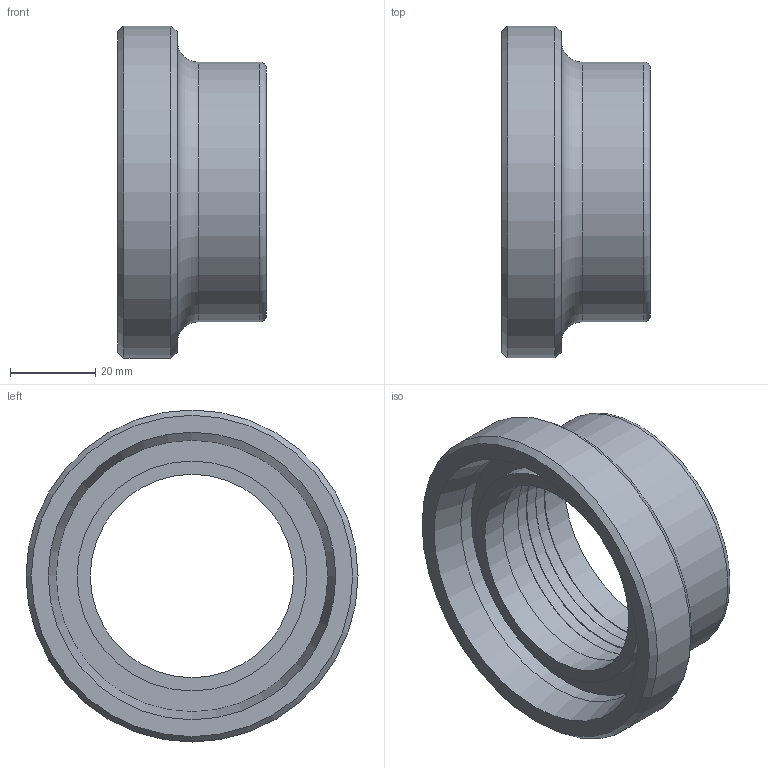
import cadquery as cq
import math


total_length = 35.0
flange_radius = 78.0 / 2
flange_width = 14.0
chamfer_length = 1.5
chamfer_depth = 1.25
neck_radius = 61.0 / 2
root_fillet_radius = 5.0
neck_end_round_radius = 1.6

taper_angle = 15.0
recess_radius = 63.8 / 2
taper_depth = 7.0
recess_depth = 10.5
recess_mouth_radius = recess_radius + taper_depth * math.tan(math.radians(taper_angle))

lip_outer_radius = 54.0 / 2
lip_bore_radius = 47.8 / 2
lip_front = taper_depth
lip_back = 13.0

bore_radius = 51.0 / 2
groove_radius = 51.4 / 2
groove_width = 3.0
groove_pitch = 6.0
first_groove_start = 19.5
groove_count = 2


def revolve_about_x(profile):
    """Turn a closed (x, radius) profile into a solid of revolution about X."""
    return profile.close().revolve(360, (0, 0, 0), (1, 0, 0))


def cylinder_along_x(start, end, radius):
    """Solid round bar about X between two positions."""
    return cq.Workplane("YZ").workplane(offset=start).circle(radius).extrude(end - start)


def outer_body():
    """Flange with chamfered rims, root fillet and a neck with a rounded end."""
    fillet_centre_x = flange_width + root_fillet_radius
    fillet_centre_radius = neck_radius + root_fillet_radius
    fillet_reach = root_fillet_radius * math.sqrt(0.5)
    round_centre_x = total_length - neck_end_round_radius
    round_centre_radius = neck_radius - neck_end_round_radius
    round_reach = neck_end_round_radius * math.sqrt(0.5)
    profile = (
        cq.Workplane("XY")
        .moveTo(0, 0)
        .lineTo(0, flange_radius - chamfer_depth)
        .lineTo(chamfer_length, flange_radius)
        .lineTo(flange_width - chamfer_length, flange_radius)
        .lineTo(flange_width, flange_radius - chamfer_depth)
        .lineTo(flange_width, fillet_centre_radius)
        .threePointArc(
            (fillet_centre_x - fillet_reach, fillet_centre_radius - fillet_reach),
            (fillet_centre_x, neck_radius),
        )
        .lineTo(round_centre_x, neck_radius)
        .threePointArc(
            (round_centre_x + round_reach, round_centre_radius + round_reach),
            (total_length, round_centre_radius),
        )
        .lineTo(total_length, 0)
    )
    return revolve_about_x(profile)


def recess():
    """Tapered recess in the flange face, leaving the raised lip standing."""
    profile = (
        cq.Workplane("XY")
        .moveTo(0, 0)
        .lineTo(0, recess_mouth_radius)
        .lineTo(taper_depth, recess_radius)
        .lineTo(recess_depth, recess_radius)
        .lineTo(recess_depth, lip_outer_radius)
        .lineTo(lip_front, lip_outer_radius)
        .lineTo(lip_front, 0)
    )
    return revolve_about_x(profile)


def bore():
    """Through opening: narrow at the lip, wider behind it, with the grooves."""
    opening = cylinder_along_x(0, total_length, lip_bore_radius)
    opening = opening.union(cylinder_along_x(lip_back, total_length, bore_radius))
    for index in range(groove_count):
        start = first_groove_start + index * groove_pitch
        opening = opening.union(cylinder_along_x(start, start + groove_width, groove_radius))
    return opening


result = outer_body().cut(recess()).cut(bore())